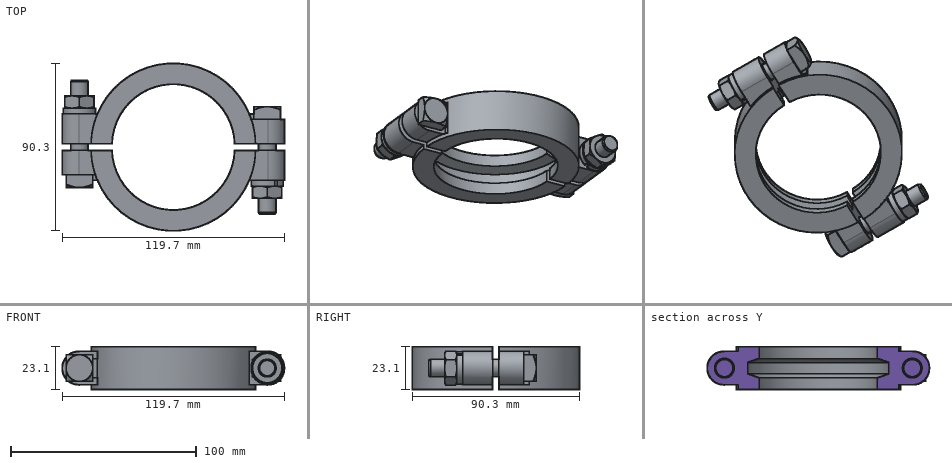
import cadquery as cq
import math

ring_height = 23.11
ring_outer_radius = 44.3
ring_inner_radius = 32.95
overall_depth = 90.3
half_shift = overall_depth / 2 - ring_outer_radius
half_gap = 1.7

groove_radius = 38.9
groove_mouth_half_height = 5.1
flank_angle = 20.0

overall_width = 119.74
lug_radius = 9.08
lug_center_x = overall_width / 2 - lug_radius
lug_end_y = 17.9
head_seat_y = 14.9
seat_wall_x = 40.8
key_height = 10.29

bolt_x = 50.55
bolt_diameter = 9.53
bolt_hole_diameter = 10.29
bolt_tip_y = 36.1
bolt_tip_taper_length = 1.0
bolt_tip_taper_depth = 0.6
head_width = 14.4
head_height = 6.85
washer_diameter = 17.5
washer_thickness = 3.1
split_width = 1.4
split_angle = 57.0
nut_width = 15.88
nut_height = 6.55
nut_seat_y = -(lug_end_y + washer_thickness)
corner_bevel_angle = 30.0


def cylinder_y(x, radius, y_start, y_end):
    """Cylinder parallel to Y, at the given X and at Z = 0."""
    axis_start = cq.Vector(x, y_start, 0)
    return cq.Workplane(obj=cq.Solid.makeCylinder(radius, y_end - y_start, axis_start, cq.Vector(0, 1, 0)))


def box_between(x_range, y_range, height):
    """Box with the given X and Y limits, centred on Z = 0."""
    x_size = x_range[1] - x_range[0]
    y_size = y_range[1] - y_range[0]
    center = (sum(x_range) / 2, sum(y_range) / 2, 0)
    return cq.Workplane("XY").box(x_size, y_size, height).translate(center)


def upper_half_space():
    """Block holding everything on the +Y side of the parting gap."""
    return box_between((-overall_width, overall_width), (half_gap, overall_width), overall_width)


def ring_blank():
    """Solid disc of the +Y half, before boring."""
    disc = cq.Workplane("XY").circle(ring_outer_radius).extrude(ring_height / 2, both=True)
    return disc.translate((0, half_shift, 0))


def bore_and_groove():
    """Bore with its V groove, as one turned cutting body."""
    flank_rise = (groove_radius - ring_inner_radius) * math.tan(math.radians(flank_angle))
    floor_half_height = groove_mouth_half_height - flank_rise
    profile = [
        (0, -ring_height / 2),
        (ring_inner_radius, -ring_height / 2),
        (ring_inner_radius, -groove_mouth_half_height),
        (groove_radius, -floor_half_height),
        (groove_radius, floor_half_height),
        (ring_inner_radius, groove_mouth_half_height),
        (ring_inner_radius, ring_height / 2),
        (0, ring_height / 2),
    ]
    cutter = cq.Workplane("XZ").polyline(profile).close().revolve(360, (0, 0, 0), (0, 1, 0))
    return cutter.translate((0, half_shift, 0))


def lug(side):
    """Round-ended lug on the -X (side = -1) or +X (side = 1) end of the +Y half."""
    x_range = sorted((0, side * lug_center_x))
    web = box_between(x_range, (half_gap, lug_end_y), 2 * lug_radius)
    return web.union(cylinder_y(side * lug_center_x, lug_radius, half_gap, lug_end_y))


def head_seat():
    """Pocket for the bolt head in the +X lug, cut slightly into the ring."""
    seat = box_between((seat_wall_x, overall_width / 2), (head_seat_y, lug_end_y), 2 * lug_radius)
    key = box_between((seat_wall_x, bolt_x - head_width / 2), (head_seat_y, lug_end_y), key_height)
    return seat.cut(key)


def clamp_half():
    """The +Y half: nut lug on -X, bolt head lug on +X."""
    half = ring_blank().union(lug(-1)).union(lug(1))
    half = half.cut(bore_and_groove()).intersect(upper_half_space()).cut(head_seat())
    for x in (-bolt_x, bolt_x):
        half = half.cut(cylinder_y(x, bolt_hole_diameter / 2, half_gap, lug_end_y))
    return half


def turned_about_y(profile):
    """Solid of revolution about Y from a closed (radius, y) outline."""
    return cq.Workplane("XY").polyline(profile).close().revolve(360, (0, 0, 0), (0, 1, 0))


def bevel_drop(corner_radius, flat_radius):
    """Axial length of a corner bevel that starts at the inscribed circle of a head or nut."""
    return (corner_radius - flat_radius) * math.tan(math.radians(corner_bevel_angle))


def bolt_head():
    """Square head on the +Y end, with its corners bevelled on the outer face."""
    flat_radius = head_width / 2
    corner_radius = flat_radius * math.sqrt(2)
    top_y = head_seat_y + head_height
    envelope = turned_about_y([
        (0, head_seat_y),
        (corner_radius, head_seat_y),
        (corner_radius, top_y - bevel_drop(corner_radius, flat_radius)),
        (flat_radius, top_y),
        (0, top_y),
    ])
    square = box_between((-flat_radius, flat_radius), (head_seat_y, top_y), head_width)
    return square.intersect(envelope)


def bolt_shank():
    """Plain shank from the head to the tapered tip on the -Y side."""
    radius = bolt_diameter / 2
    return turned_about_y([
        (0, head_seat_y),
        (radius, head_seat_y),
        (radius, bolt_tip_taper_length - bolt_tip_y),
        (radius - bolt_tip_taper_depth, -bolt_tip_y),
        (0, -bolt_tip_y),
    ])


def lock_washer():
    """Split washer seated on the -Y end of the nut lug."""
    washer = cylinder_y(0, washer_diameter / 2, nut_seat_y, -lug_end_y)
    split = box_between((0, washer_diameter), (nut_seat_y, -lug_end_y), split_width)
    return washer.cut(split.rotate((0, 0, 0), (0, 1, 0), -split_angle))


def hex_nut():
    """Hexagon nut with corners pointing along Z and bevelled on both faces."""
    flat_radius = nut_width / 2
    corner_radius = flat_radius / math.cos(math.pi / 6)
    drop = bevel_drop(corner_radius, flat_radius)
    end_y = nut_seat_y - nut_height
    envelope = turned_about_y([
        (0, nut_seat_y),
        (flat_radius, nut_seat_y),
        (corner_radius, nut_seat_y - drop),
        (corner_radius, end_y + drop),
        (flat_radius, end_y),
        (0, end_y),
    ])
    hexagon = cq.Workplane("XZ").polygon(6, 2 * corner_radius).extrude(nut_height)
    hexagon = hexagon.rotate((0, 0, 0), (0, 1, 0), 90).translate((0, nut_seat_y, 0))
    return hexagon.intersect(envelope)


def bolt_set():
    """Bolt with washer and nut on the Y axis, head towards +Y."""
    return bolt_head().union(lock_washer()).union(bolt_shank()).union(hex_nut())


upper_half = clamp_half()
lower_half = upper_half.rotate((0, 0, 0), (0, 0, 1), 180)
right_bolt = bolt_set().translate((bolt_x, 0, 0))
left_bolt = bolt_set().rotate((0, 0, 0), (1, 0, 0), 180).translate((-bolt_x, 0, 0))

result = upper_half.union(lower_half).union(right_bolt).union(left_bolt)